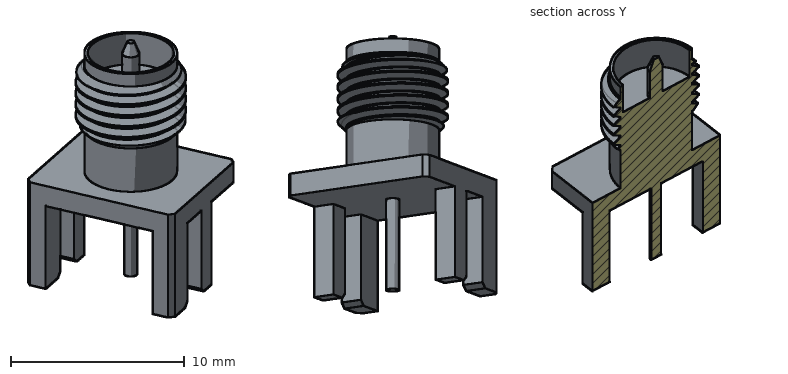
import cadquery as cq
import math

plate_length = 9.52
plate_width = 7.92
plate_thickness = 1.3
corner_chamfer = 0.3
leg_height = 5.35
leg_thickness = 1.3

solder_pin_radius = 0.38
board_slot_rear = -solder_pin_radius
board_slot_width = 1.73
rear_leg_width = 1.28
leg_lead_in = 0.3

barrel_radius = 2.675
bore_radius = 2.475
bore_depth = 2.0
neck_height = 2.8
thread_length = 4.0
rim_height = 0.8
inch = 25.4
thread_radius = inch / 4 / 2
thread_root_radius = 2.7
thread_pitch = inch / 36
thread_crest_width = thread_pitch / 8
thread_flank_angle = 30
thread_lead_offset = 0.025

contact_radius = 0.5
contact_tip_radius = 0.2
contact_taper = 0.75
contact_protrusion = 0.72

plate_bottom = -plate_thickness
leg_bottom = plate_bottom - leg_height
thread_bottom = neck_height
thread_top = thread_bottom + thread_length
barrel_top = thread_top + rim_height
bore_floor = barrel_top - bore_depth
contact_top = barrel_top + contact_protrusion


def leg_pair(y_front, y_rear):
    """Two legs flush with the plate ends, spanning y_front to y_rear."""
    leg_offset = (plate_length - leg_thickness) / 2
    return (
        cq.Workplane("XY", origin=(0, (y_front + y_rear) / 2, leg_bottom))
        .pushPoints([(-leg_offset, 0), (leg_offset, 0)])
        .rect(leg_thickness, y_rear - y_front)
        .extrude(leg_height)
    )


def base():
    """Plate and four legs, with chamfered corners and board slot lead-ins."""
    plate = (
        cq.Workplane("XY", origin=(0, 0, plate_bottom))
        .rect(plate_length, plate_width)
        .extrude(plate_thickness)
    )
    board_slot_front = board_slot_rear - board_slot_width
    front_legs = leg_pair(-plate_width / 2, board_slot_front)
    front_legs = front_legs.faces(">Y").edges("<Z").chamfer(leg_lead_in)
    rear_legs = leg_pair(board_slot_rear, board_slot_rear + rear_leg_width)
    rear_legs = rear_legs.faces("<Y").edges("<Z").chamfer(leg_lead_in)
    body = plate.union(front_legs).union(rear_legs)
    chamfered_envelope = (
        cq.Workplane("XY", origin=(0, 0, leg_bottom))
        .rect(plate_length, plate_width)
        .extrude(-leg_bottom)
        .edges("|Z")
        .chamfer(corner_chamfer)
    )
    return body.intersect(chamfered_envelope)


def groove_turn():
    """One right-hand turn of the thread's V groove, starting on +X at Z = 0."""
    clearance = 0.03
    outer_radius = thread_radius + clearance
    flank_slope = math.tan(math.radians(thread_flank_angle))
    half_mouth = (thread_pitch - thread_crest_width) / 2
    half_root = half_mouth - (thread_radius - thread_root_radius) * flank_slope
    half_outer = half_mouth + clearance * flank_slope
    helix = cq.Wire.makeHelix(thread_pitch, thread_pitch, thread_root_radius)
    return (
        cq.Workplane("XZ")
        .moveTo(thread_root_radius, -half_root)
        .lineTo(outer_radius, -half_outer)
        .lineTo(outer_radius, half_outer)
        .lineTo(thread_root_radius, half_root)
        .close()
        .sweep(cq.Workplane(obj=helix), isFrenet=True)
    )


def cut_thread(blank):
    """Cut the groove turn by turn, running out past both ends of the thread."""
    turn = groove_turn()
    first_turn_z = thread_bottom + thread_lead_offset - thread_pitch
    turn_count = math.ceil(thread_length / thread_pitch) + 1
    threaded = blank
    for index in range(turn_count):
        threaded = threaded.cut(turn.translate((0, 0, first_turn_z + index * thread_pitch)))
    return threaded


def barrel():
    """Cylindrical barrel with a 45 degree ended threaded length."""
    thread_chamfer = thread_radius - barrel_radius
    outline = [
        (0, 0),
        (barrel_radius, 0),
        (barrel_radius, thread_bottom),
        (thread_radius, thread_bottom + thread_chamfer),
        (thread_radius, thread_top - thread_chamfer),
        (barrel_radius, thread_top),
        (barrel_radius, barrel_top),
        (0, barrel_top),
    ]
    blank = cq.Workplane("XZ").polyline(outline).close().revolve()
    bore = cq.Workplane("XY", origin=(0, 0, bore_floor)).circle(bore_radius).extrude(bore_depth)
    return cut_thread(blank).cut(bore)


def contact():
    """Centre contact rising from the bore floor to a tapered, flat-ended tip."""
    taper_start = contact_top - contact_taper
    outline = [
        (0, 0),
        (contact_radius, 0),
        (contact_radius, taper_start),
        (contact_tip_radius, contact_top),
        (0, contact_top),
    ]
    return cq.Workplane("XZ").polyline(outline).close().revolve()


def solder_pin():
    """Round pin hanging below the plate, level with the leg ends."""
    return cq.Workplane("XY", origin=(0, 0, leg_bottom)).circle(solder_pin_radius).extrude(leg_height)


result = base().union(barrel()).union(contact()).union(solder_pin())